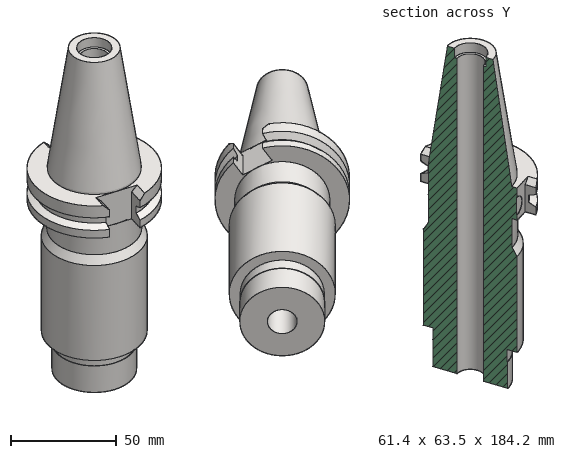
import cadquery as cq

total_height = 184.2
collar_split_z = 15.3
body_bottom_z = 22.0
body_top_z = 76.5
neck_cone_top_z = 80.9
flange_bottom_z = 97.0
flange_top_z = 115.3
taper_base_z = 116.3

nose_diameter = 40.2
collar_diameter = 39.8
body_diameter = 50.1
neck_diameter = 45.0
flange_diameter = 63.5
groove_diameter = 56.2
taper_base_diameter = 44.4
taper_top_diameter = 24.5

groove_lower_edge_z = 101.3
groove_upper_edge_z = 108.5
groove_side_height = 1.7

bore_diameter = 14.0
counterbore_diameter = 16.5
counterbore_depth = 5.3

slot_width = 16.2
slot_chamfer = 3.0
slot_floor_minus_x = 25.0
slot_floor_plus_x = 22.3

recess_diameter = 10.0
recess_depth = 0.2
recess_z = 105.0


def turned_body():
    """Revolve the half outline of the holder about the Z axis."""
    stations = [
        (nose_diameter, 0),
        (nose_diameter, collar_split_z),
        (collar_diameter, collar_split_z),
        (collar_diameter, body_bottom_z),
        (body_diameter, body_bottom_z),
        (body_diameter, body_top_z),
        (neck_diameter, neck_cone_top_z),
        (neck_diameter, flange_bottom_z),
        (flange_diameter, flange_bottom_z),
        (flange_diameter, groove_lower_edge_z),
        (groove_diameter, groove_lower_edge_z + groove_side_height),
        (groove_diameter, groove_upper_edge_z - groove_side_height),
        (flange_diameter, groove_upper_edge_z),
        (flange_diameter, flange_top_z),
        (taper_base_diameter, flange_top_z),
        (taper_base_diameter, taper_base_z),
        (taper_top_diameter, total_height),
    ]
    outline = [(0, 0)]
    outline += [(diameter / 2, z) for diameter, z in stations]
    outline.append((0, total_height))
    return cq.Workplane("XZ").polyline(outline).close().revolve(360, (0, 0), (0, 1))


def axial_bore():
    """Through bore with a wider counterbore at the small end of the taper."""
    bore = cq.Workplane("XY").circle(bore_diameter / 2).extrude(total_height)
    counterbore = (
        cq.Workplane("XY", origin=(0, 0, total_height - counterbore_depth))
        .circle(counterbore_diameter / 2)
        .extrude(counterbore_depth)
    )
    return bore.union(counterbore)


def drive_slot(side, floor_distance):
    """Slot through the flange height, flared at its top; side is +1 or -1 along X."""
    half_width = slot_width / 2
    half_flare = half_width + slot_chamfer
    profile = [
        (-half_width, flange_bottom_z),
        (half_width, flange_bottom_z),
        (half_width, flange_top_z - slot_chamfer),
        (half_flare, flange_top_z),
        (-half_flare, flange_top_z),
        (-half_width, flange_top_z - slot_chamfer),
    ]
    return (
        cq.Workplane("YZ", origin=(side * floor_distance, 0, 0))
        .polyline(profile)
        .close()
        .extrude(side * flange_diameter / 2)
    )


def slot_recess():
    """Shallow round recess sunk toward the axis from the -X slot floor."""
    return (
        cq.Workplane("YZ", origin=(-slot_floor_minus_x, 0, recess_z))
        .circle(recess_diameter / 2)
        .extrude(recess_depth)
    )


result = (
    turned_body()
    .cut(axial_bore())
    .cut(drive_slot(-1, slot_floor_minus_x))
    .cut(drive_slot(1, slot_floor_plus_x))
    .cut(slot_recess())
)